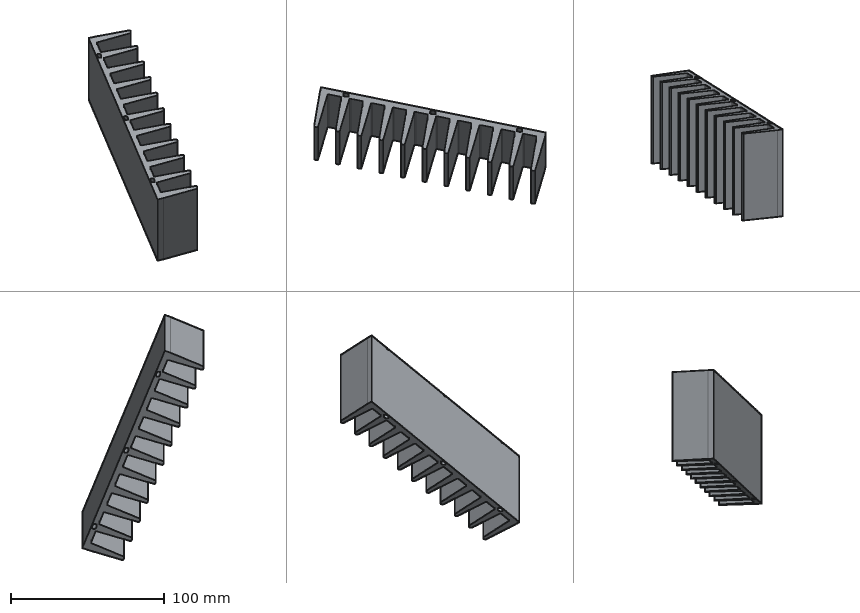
import cadquery as cq

length = 150.0
depth = 28.0
height = 59.0

base_thickness = 3.9
fin_count = 11
fin_root_width = 5.4
fin_pitch = (length - fin_root_width) / (fin_count - 1)
fin_tip_width = 2.7
fin_shoulder = depth - 0.6
root_fillet = 0.8

hole_width = 3.8
hole_depth = 2.7
hole_y = 2.0
hole_fins = (1, 5, 9)


def fin_x(index):
    """X position of a fin's centre plane."""
    return (index - (fin_count - 1) / 2) * fin_pitch


def make_fin(x):
    """Tapered fin with a rounded tip, standing on the base plate."""
    return (
        cq.Workplane("XY")
        .moveTo(x - fin_root_width / 2, base_thickness)
        .lineTo(x - fin_tip_width / 2, fin_shoulder)
        .threePointArc((x, depth), (x + fin_tip_width / 2, fin_shoulder))
        .lineTo(x + fin_root_width / 2, base_thickness)
        .close()
        .extrude(height)
    )


body = cq.Workplane("XY").box(length, base_thickness, height, centered=(True, False, False))

for index in range(fin_count):
    body = body.union(make_fin(fin_x(index)))

half_root = fin_root_width / 2
root_corners = cq.selectors.BoxSelector(
    (-length / 2 + half_root, base_thickness - root_fillet, 0),
    (length / 2 - half_root, base_thickness + root_fillet, height),
)
body = body.edges("|Z").edges(root_corners).fillet(root_fillet)

hole_centres = [(fin_x(index), hole_y) for index in hole_fins]
holes = (
    cq.Workplane("XY")
    .pushPoints(hole_centres)
    .ellipse(hole_width / 2, hole_depth / 2)
    .extrude(height)
)

result = body.cut(holes)